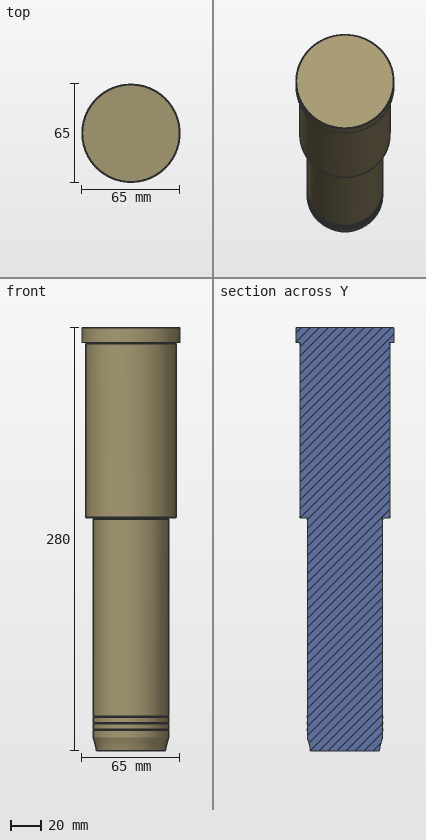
import cadquery as cq

TOTAL_HEIGHT = 280.0
HEAD_RADIUS = 65.0 / 2
BODY_RADIUS = 60.0 / 2
SHANK_RADIUS = 50.0 / 2
HEAD_HEIGHT = 10.0
BODY_BOTTOM_Z = 154.0
HEAD_BOTTOM_Z = TOTAL_HEIGHT - HEAD_HEIGHT

HEAD_CHAMFER = 0.5
BODY_CHAMFER = 0.5
FOOT_CHAMFER = 0.5

GROOVE_WIDTH = 1.0
GROOVE_DEPTH = 0.35
OIL_GROOVE_COUNT = 3
LOWEST_OIL_GROOVE_Z = 14.3
OIL_GROOVE_PITCH = 4.2

LEAD_IN_TOP_Z = 9.0
LEAD_IN_BOTTOM_RADIUS = 46.0 / 2
LEAD_IN_HOLLOW = 0.2


def groove_up(outline, radius, center_z):
    """Continue the outline upward along the given radius, through one V-shaped groove."""
    bottom_z = center_z - GROOVE_WIDTH / 2
    top_z = center_z + GROOVE_WIDTH / 2
    outline = outline.lineTo(-radius, bottom_z).lineTo(-radius + GROOVE_DEPTH, center_z)
    return outline.lineTo(-radius, top_z)


def add_foot(outline):
    """Flat foot, its chamfer and the hollow lead-in."""
    lead_in_middle_radius = (LEAD_IN_BOTTOM_RADIUS + SHANK_RADIUS) / 2 - LEAD_IN_HOLLOW
    lead_in_middle_z = (FOOT_CHAMFER + LEAD_IN_TOP_Z) / 2
    return (
        outline.lineTo(-LEAD_IN_BOTTOM_RADIUS + FOOT_CHAMFER, 0)
        .lineTo(-LEAD_IN_BOTTOM_RADIUS, FOOT_CHAMFER)
        .threePointArc((-lead_in_middle_radius, lead_in_middle_z), (-SHANK_RADIUS, LEAD_IN_TOP_Z))
    )


def add_shank(outline):
    """Shank wall with its oil grooves and the relief below the body."""
    for index in range(OIL_GROOVE_COUNT):
        outline = groove_up(outline, SHANK_RADIUS, LOWEST_OIL_GROOVE_Z + index * OIL_GROOVE_PITCH)
    return groove_up(outline, SHANK_RADIUS, BODY_BOTTOM_Z - GROOVE_WIDTH / 2)


def add_body(outline):
    """Body with a chamfered lower rim and the relief below the head."""
    outline = outline.lineTo(-BODY_RADIUS + BODY_CHAMFER, BODY_BOTTOM_Z)
    outline = outline.lineTo(-BODY_RADIUS, BODY_BOTTOM_Z + BODY_CHAMFER)
    return groove_up(outline, BODY_RADIUS, HEAD_BOTTOM_Z - GROOVE_WIDTH / 2)


def add_head(outline):
    """Head disc with a chamfered top rim."""
    return (
        outline.lineTo(-HEAD_RADIUS, HEAD_BOTTOM_Z)
        .lineTo(-HEAD_RADIUS, TOTAL_HEIGHT - HEAD_CHAMFER)
        .lineTo(-HEAD_RADIUS + HEAD_CHAMFER, TOTAL_HEIGHT)
        .lineTo(0, TOTAL_HEIGHT)
    )


half_outline = cq.Workplane("XZ").moveTo(0, 0)
for add_section in (add_foot, add_shank, add_body, add_head):
    half_outline = add_section(half_outline)

result = half_outline.close().revolve(360, (0, 0, 0), (0, 1, 0))